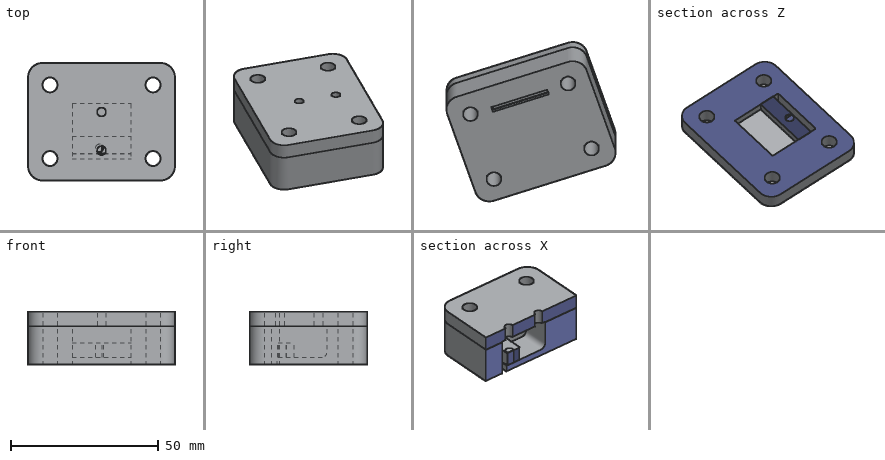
import cadquery as cq

length = 50.0
width = 40.0
height = 18.0
corner_radius = 5.0
lid_thickness = 5.0
base_height = height - lid_thickness

screw_hole_diameter = 5.0
screw_inset = 7.5

lid_hole_diameter = 3.0
rear_hole_y = 3.3
front_hole_y = -9.75

floor_thickness = 2.5
pocket_length = 20.0
pocket_edge_radius = 2.0
floor_rear_y = 4.2
pocket_rear_y = floor_rear_y + pocket_edge_radius
pocket_front_y = rear_hole_y + front_hole_y - pocket_rear_y

opening_rear_y = -10.85

floor_ledge = 0.2
block_front_y = opening_rear_y + floor_ledge
block_rear_y = -5.0
block_height = 5.0
block_top = floor_thickness + block_height

pin_diameter = 2.75
pin_x = -0.75
pin_y = -8.9
pin_flat_x = 0.0


def box_between(x_size, y_front, y_rear, z_bottom, z_top):
    """Box centred on X = 0 between the given Y and Z limits."""
    return (
        cq.Workplane("XY", origin=(0, (y_front + y_rear) / 2, z_bottom))
        .box(x_size, y_rear - y_front, z_top - z_bottom, centered=(True, True, False))
    )


def make_plate(z_bottom, thickness):
    """Rounded rectangular plate with the four screw holes."""
    spacing_x = length - 2 * screw_inset
    spacing_y = width - 2 * screw_inset
    return (
        cq.Workplane("XY", origin=(0, 0, z_bottom))
        .box(length, width, thickness, centered=(True, True, False))
        .edges("|Z").fillet(corner_radius)
        .faces(">Z").workplane(origin=(0, 0, 0))
        .rect(spacing_x, spacing_y, forConstruction=True)
        .vertices().hole(screw_hole_diameter)
    )


def make_base():
    """Lower plate with the pocket and the opening through its floor."""
    pocket = (
        box_between(pocket_length, pocket_front_y, pocket_rear_y, floor_thickness, base_height)
        .edges("<Z and >Y").fillet(pocket_edge_radius)
    )
    opening = box_between(pocket_length, pocket_front_y, opening_rear_y, 0, floor_thickness)
    return make_plate(0, base_height).cut(pocket).cut(opening)


def make_lid():
    """Upper plate with the two small holes."""
    return (
        make_plate(base_height, lid_thickness)
        .faces(">Z").workplane(origin=(0, 0, 0))
        .pushPoints([(0, rear_hole_y), (0, front_hole_y)])
        .hole(lid_hole_diameter)
    )


def seat_cylinder():
    """Round space in the block that the pin and the key fill together."""
    return (
        cq.Workplane("XY", origin=(pin_x, pin_y, floor_thickness))
        .circle(pin_diameter / 2).extrude(block_height)
    )


def flat_side():
    """Space on the key's side of the pin's flat."""
    return (
        cq.Workplane("XY", origin=(pin_flat_x, pin_y, floor_thickness))
        .box(pin_diameter, pin_diameter, block_height, centered=(False, True, False))
    )


def make_block():
    """Block with the round seat for the pin and the key."""
    block = box_between(pocket_length, block_front_y, block_rear_y, floor_thickness, block_top)
    return block.cut(seat_cylinder())


def make_pin():
    """Round pin with one flat along its whole length."""
    return seat_cylinder().cut(flat_side())


def make_key():
    """Segment that fills the seat beside the pin's flat."""
    return seat_cylinder().intersect(flat_side())


base = make_base()
lid = make_lid()
block = make_block()
pin = make_pin()
key = make_key()

result = cq.Compound.makeCompound([base.val(), lid.val(), block.val(), pin.val(), key.val()])